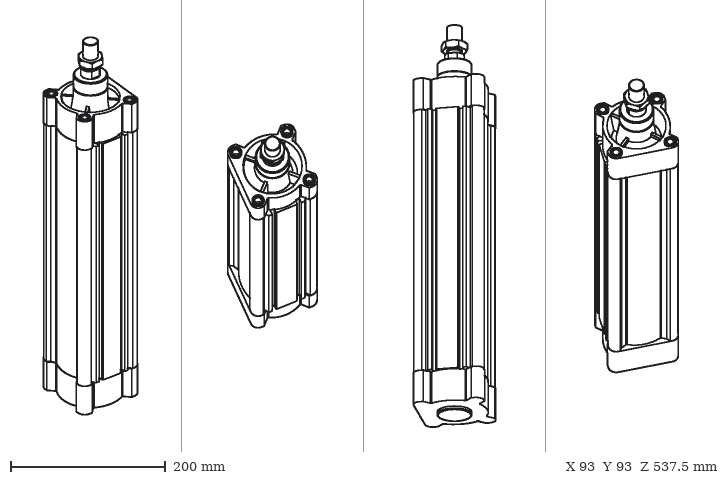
import cadquery as cq
import math


rear_collar_height = 4.5
cap_height = 43.5
barrel_height = 361.0
front_collar_height = 34.5
rod_shoulder_height = 45.5
total_height = 537.5

barrel_bottom = cap_height
barrel_top = barrel_bottom + barrel_height
cap_top = barrel_top + cap_height
collar_top = cap_top + front_collar_height
shoulder_z = cap_top + rod_shoulder_height
rod_tip_z = total_height - rear_collar_height

cap_width = 93.0
barrel_width = 92.5
screw_pitch = 72.0
screw_offset = screw_pitch / 2
outside = cap_width

cap_bulge_crown = 43.5
barrel_bulge_crown = 43.0
bulge_half_width = 22.0
valley_half_width = 23.5
valley_floor = 38.0
cap_corner_flat_end = 31.5
barrel_corner_flat_end = 33.5
barrel_steps = [(30.0, 41.5), (28.5, 41.0)]

rail_half_width = 15.0
rail_chamfer = 1.0
rail_slot_end = 20.5
rail_slot_floor = 40.0
rail_lip_end = 25.0
notch_middle = (barrel_corner_flat_end + rail_lip_end) / 2
notch_floor = 41.0

recess_depth = 27.0
recess_radius = 38.0
recess_floor_radius = 32.0
hub_floor_radius = 26.5
shelf_depth = 5.5
rib_top_width = 4.0
rib_root_width = 7.5
rib_depth = 1.0
rib_angles = (45, 135)

collar_diameter = 45.0
collar_radius = collar_diameter / 2
collar_chamfer = 1.35
collar_step_height = 15.0
collar_neck_radius = 22.0
collar_step_chamfer = 1.0

screw_bore_diameter = 15.5
screw_gap_floor_diameter = 15.0
screw_head_diameter = 12.0
screw_hole_diameter = 8.5
screw_gap_depth = 2.0
screw_hole_depth = 16.0

rod_diameter = 25.0
thread_diameter = 20.0
undercut_diameter = 18.5
undercut_height = 5.0
undercut_flare = 1.0
thread_chamfer = 0.8
rod_flats = 22.0
rod_flat_height = 11.0
nut_across_flats = 30.0
nut_height = 10.0
nut_face_radius = nut_across_flats / 2
nut_chamfer_angle = 30
nut_to_tip = 23.0
nut_top_z = rod_tip_z - nut_to_tip
nut_bottom_z = nut_top_z - nut_height
hexagon_half_angle = 30
nut_across_corners = nut_across_flats / math.cos(math.radians(hexagon_half_angle))
rod_bottom_z = barrel_top

SIDE_NEGATIVE_Y, SIDE_POSITIVE_X, SIDE_POSITIVE_Y, SIDE_NEGATIVE_X = 0, 90, 180, 270


def prism(points, z, height):
    return cq.Workplane("XY").workplane(offset=z).polyline(points).close().extrude(height)


def cylinder(diameter, z, height):
    return cq.Workplane("XY").workplane(offset=z).circle(diameter / 2).extrude(height)


def rounded_square(width, z, height):
    """Square block whose corners are rounded about the screw axes."""
    block = cq.Workplane("XY").workplane(offset=z).rect(width, width).extrude(height)
    return block.edges("|Z").fillet(width / 2 - screw_offset)


def turned(profile):
    return cq.Workplane("XZ").polyline(profile).close().revolve(360, (0, 0, 0), (0, 1, 0))


def bulge_cutter(z, height, crown, corner):
    """Material removed around the bulge of the -Y side; corner runs from the flat to the valley."""
    left_side = [(-x, -y) for x, y in corner] + [(-valley_half_width, -valley_floor)]
    right_side = [(-x, y) for x, y in reversed(left_side)]
    outline = cq.Workplane("XY").workplane(offset=z).moveTo(left_side[0][0], -outside)
    for x, y in left_side:
        outline = outline.lineTo(x, y)
    outline = outline.lineTo(-bulge_half_width, -valley_floor)
    outline = outline.threePointArc((0, -crown), (bulge_half_width, -valley_floor))
    for x, y in right_side:
        outline = outline.lineTo(x, y)
    return outline.lineTo(right_side[-1][0], -outside).close().extrude(height)


def turn_to_side(cutter, angle):
    return cutter.rotate((0, 0, 0), (0, 0, 1), angle)


def cap(z):
    """Cap with one flat side (+Y) and three bulged sides."""
    body = rounded_square(cap_width, z, cap_height)
    corner = [(cap_corner_flat_end, cap_width / 2)]
    cutter = bulge_cutter(z, cap_height, cap_bulge_crown, corner)
    for side in (SIDE_NEGATIVE_X, SIDE_NEGATIVE_Y, SIDE_POSITIVE_X):
        body = body.cut(turn_to_side(cutter, side))
    return body


def rail_cutter():
    """Slot beside the rail and V notch beside the corner, on one half of the -Y side."""
    face = barrel_width / 2
    slot = [
        (rail_half_width - rail_chamfer, -outside),
        (rail_half_width - rail_chamfer, -face),
        (rail_half_width, -face + rail_chamfer),
        (rail_half_width, -rail_slot_floor),
        (rail_slot_end, -rail_slot_floor),
        (rail_slot_end, -outside),
    ]
    notch = [
        (rail_lip_end, -face),
        (notch_middle, -notch_floor),
        (barrel_corner_flat_end, -face),
    ]
    cut = prism(slot, barrel_bottom, barrel_height)
    return cut.union(prism(notch, barrel_bottom, barrel_height))


def barrel():
    """Profile with bulged Y sides and a sensor rail on each X side."""
    body = rounded_square(barrel_width, barrel_bottom, barrel_height)
    corner = [(barrel_corner_flat_end, barrel_width / 2)] + barrel_steps
    bulge = bulge_cutter(barrel_bottom, barrel_height, barrel_bulge_crown, corner)
    for side in (SIDE_NEGATIVE_Y, SIDE_POSITIVE_Y):
        body = body.cut(turn_to_side(bulge, side))
    half_rail = rail_cutter()
    for side in (SIDE_NEGATIVE_X, SIDE_POSITIVE_X):
        body = body.cut(turn_to_side(half_rail, side))
        body = body.cut(turn_to_side(half_rail.mirror("YZ"), side))
    return body


def diagonal_rib(angle):
    """Tapered wall across the whole recess, turned about the axis."""
    floor_z = cap_top - recess_depth
    top_z = cap_top - rib_depth
    section = [
        (-rib_root_width / 2, floor_z),
        (rib_root_width / 2, floor_z),
        (rib_top_width / 2, top_z),
        (-rib_top_width / 2, top_z),
    ]
    rib = cq.Workplane("XZ").polyline(section).close().extrude(recess_radius, both=True)
    return rib.rotate((0, 0, 0), (0, 0, 1), angle)


def front_recess():
    """Tapered ring pocket, with diagonal ribs and a shallow +Y quarter left standing."""
    floor_z = cap_top - recess_depth
    pocket = turned([
        (collar_radius, cap_top),
        (hub_floor_radius, floor_z),
        (recess_floor_radius, floor_z),
        (recess_radius, cap_top),
    ])
    for angle in rib_angles:
        pocket = pocket.cut(diagonal_rib(angle))
    quarter = [(0, 0), (outside, outside), (-outside, outside)]
    shelf = prism(quarter, floor_z, recess_depth - shelf_depth)
    return pocket.cut(shelf)


def front_collar():
    return turned([
        (0, cap_top),
        (collar_radius, cap_top),
        (collar_radius, cap_top + collar_step_height),
        (collar_neck_radius, cap_top + collar_step_height + collar_step_chamfer),
        (collar_neck_radius, collar_top - collar_chamfer),
        (collar_neck_radius - collar_chamfer, collar_top),
        (0, collar_top),
    ])


def rear_collar():
    collar = cylinder(collar_diameter, -rear_collar_height, rear_collar_height)
    return collar.faces("<Z").edges().chamfer(collar_chamfer)


def screw_recess(x, y):
    """Tapered gap around a screw head, and the threaded hole in the head."""
    gap_floor = cap_top - screw_gap_depth
    gap = turned([
        (screw_head_diameter / 2, gap_floor),
        (screw_gap_floor_diameter / 2, gap_floor),
        (screw_bore_diameter / 2, cap_top),
        (screw_head_diameter / 2, cap_top),
    ])
    hole = cylinder(screw_hole_diameter, cap_top - screw_hole_depth, screw_hole_depth)
    return gap.union(hole).translate((x, y, 0))


def make_housing():
    body = cap(0).union(barrel()).union(cap(barrel_top))
    body = body.cut(front_recess())
    body = body.union(front_collar()).union(rear_collar())
    for x in (-screw_offset, screw_offset):
        for y in (-screw_offset, screw_offset):
            body = body.cut(screw_recess(x, y))
    return body.cut(cylinder(rod_diameter, rod_bottom_z, collar_top - rod_bottom_z))


def make_rod():
    """Rod with a flared undercut and a threaded end, and wrench flats facing X."""
    rod_radius = rod_diameter / 2
    thread_radius = thread_diameter / 2
    undercut_radius = undercut_diameter / 2
    rod = turned([
        (0, rod_bottom_z),
        (rod_radius, rod_bottom_z),
        (rod_radius, shoulder_z),
        (undercut_radius + undercut_flare, shoulder_z),
        (undercut_radius, shoulder_z + undercut_flare),
        (undercut_radius, shoulder_z + undercut_height),
        (thread_radius, shoulder_z + undercut_height),
        (thread_radius, rod_tip_z - thread_chamfer),
        (thread_radius - thread_chamfer, rod_tip_z),
        (0, rod_tip_z),
    ])
    flat_depth = (rod_diameter - rod_flats) / 2
    for side in (-1, 1):
        flat = cq.Workplane("XY").box(flat_depth, rod_diameter, rod_flat_height)
        flat_x = side * (rod_flats + flat_depth) / 2
        rod = rod.cut(flat.translate((flat_x, 0, shoulder_z - rod_flat_height / 2)))
    return rod


def make_nut():
    """Hexagon nut with two corners on the Y axis, its corners beveled at both faces."""
    corner_radius = nut_across_corners / 2
    bevel = (corner_radius - nut_face_radius) * math.tan(math.radians(nut_chamfer_angle))
    blank = cq.Workplane("XY").workplane(offset=nut_bottom_z).polygon(6, nut_across_corners)
    nut = blank.extrude(nut_height).rotate((0, 0, 0), (0, 0, 1), hexagon_half_angle)
    envelope = turned([
        (0, nut_bottom_z),
        (nut_face_radius, nut_bottom_z),
        (corner_radius, nut_bottom_z + bevel),
        (corner_radius, nut_top_z - bevel),
        (nut_face_radius, nut_top_z),
        (0, nut_top_z),
    ])
    return nut.intersect(envelope).cut(cylinder(thread_diameter, nut_bottom_z, nut_height))


housing = make_housing()
rod = make_rod()
nut = make_nut()

result = cq.Compound.makeCompound([body.solids().val() for body in (housing, rod, nut)])